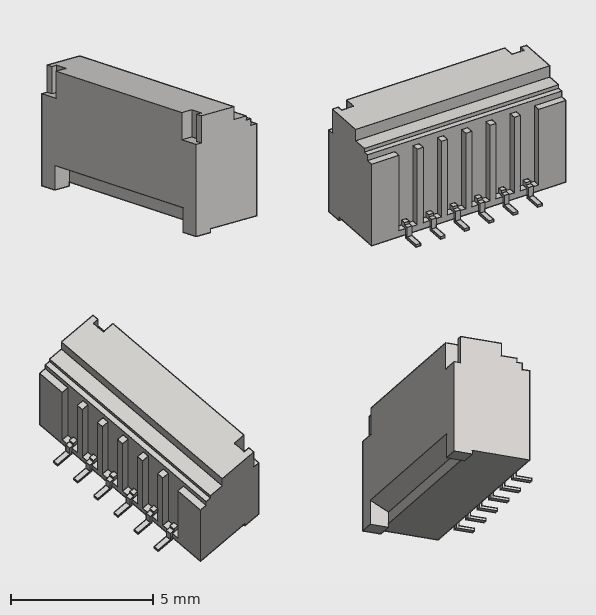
import cadquery as cq

width = 8.0
height = 4.4
housing_depth = 2.9
underside_z = 0.14

top_depth = 1.82
middle_step_depth = 2.41
middle_step_z = 3.93
lower_step_depth = 2.62
lower_step_z = 3.78
ledge_z = 3.54

foot_width = 0.68
foot_depth = 0.7
recess_front_z = 0.91
recess_back_z = 0.58

notch_height = 1.0
lip_width = 0.25
lip_setback = 0.25
notch_width = 0.74
notch_depth = 0.48

contact_count = 6
pitch = 1.0
slot_width = 0.75
slot_floor_z = 0.4
contact_width = 0.2
contact_thickness = 0.1
tail_end_y = 3.6
shank_back_y = 3.0
shank_front_y = 2.82
shank_top_z = 0.5
blade_top_z = 0.6


def box(x_range, y_range, z_range):
    """Axis-aligned block spanning the three (low, high) ranges."""
    ranges = (x_range, y_range, z_range)
    lengths = [high - low for low, high in ranges]
    corner = tuple(low for low, high in ranges)
    return cq.Workplane("XY").box(*lengths, centered=False).translate(corner)


def side_extrusion(points, length):
    """Extrude a (Y, Z) outline along X, centred on X = 0."""
    return cq.Workplane("YZ").polyline(points).close().extrude(length / 2, both=True)


def make_housing():
    outline = [
        (0, 0),
        (foot_depth, 0),
        (foot_depth, underside_z),
        (housing_depth, underside_z),
        (housing_depth, ledge_z),
        (lower_step_depth, ledge_z),
        (lower_step_depth, lower_step_z),
        (middle_step_depth, lower_step_z),
        (middle_step_depth, middle_step_z),
        (top_depth, middle_step_z),
        (top_depth, height),
        (0, height),
    ]
    return side_extrusion(outline, width)


def make_front_recess():
    """Space between the feet, with a roof that slopes down towards the back."""
    outline = [
        (0, 0),
        (foot_depth, 0),
        (foot_depth, recess_back_z),
        (0, recess_front_z),
    ]
    return side_extrusion(outline, width - 2 * foot_width)


def make_left_notch():
    left = -width / 2
    z_range = (height - notch_height, height)
    in_front_of_lip = box((left, left + lip_width), (0, lip_setback), z_range)
    pocket = box((left + lip_width, left + notch_width), (0, notch_depth), z_range)
    return in_front_of_lip.union(pocket)


def make_slot(x):
    x_range = (x - slot_width / 2, x + slot_width / 2)
    return box(x_range, (lower_step_depth, housing_depth), (slot_floor_z, ledge_z))


def make_contact(x):
    """Solder tail, upright shank across the back face and blade inside the slot."""
    outline = [
        (housing_depth, 0),
        (tail_end_y, 0),
        (tail_end_y, contact_thickness),
        (shank_back_y, contact_thickness),
        (shank_back_y, shank_top_z),
        (shank_front_y, shank_top_z),
        (shank_front_y, blade_top_z),
        (lower_step_depth, blade_top_z),
        (lower_step_depth, slot_floor_z),
        (housing_depth, slot_floor_z),
    ]
    return side_extrusion(outline, contact_width).translate((x, 0, 0))


left_notch = make_left_notch()
result = make_housing().cut(make_front_recess())
result = result.cut(left_notch).cut(left_notch.mirror("YZ"))

for index in range(contact_count):
    contact_x = (index - (contact_count - 1) / 2) * pitch
    result = result.cut(make_slot(contact_x)).union(make_contact(contact_x))